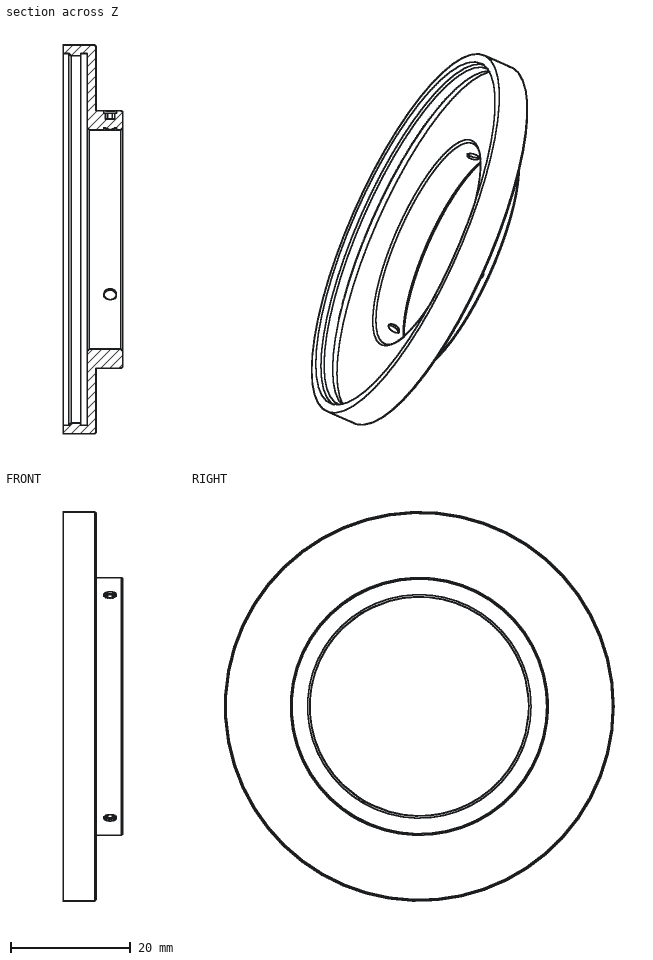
import cadquery as cq

FLANGE_DIAMETER = 65.0
FLANGE_THICKNESS = 5.5
HUB_DIAMETER = 43.0
TOTAL_LENGTH = 10.0
EDGE_CHAMFER = 0.25

THREAD_MAJOR_DIAMETER = 62.1
THREAD_MINOR_DIAMETER = 61.3
LEAD_IN_DEPTH = 1.0
THREAD_END_DEPTH = 3.0
RECESS_DEPTH = 4.0

BORE_DIAMETER = 36.5
BORE_MOUTH_DIAMETER = 37.3

SCREW_DIAMETER = 2.1
SCREW_COUNT = 3
SCREW_X = 7.85
SCREW_HEAD_RECESS = 0.4
SOCKET_ACROSS_CORNERS = 1.5
SOCKET_DEPTH = 1.0
POINT_HEIGHT = 0.4
CUTTER_OVERRUN = 1.3


def disc(diameter, start, end):
    """Solid cylinder on the X axis between two X positions."""
    return cq.Workplane("YZ", origin=(start, 0, 0)).circle(diameter / 2).extrude(end - start)


def taper(start_diameter, end_diameter, start):
    """45 degree cone frustum on the X axis, running towards +X."""
    length = abs(start_diameter - end_diameter) / 2
    profile = [
        (start, 0),
        (start, start_diameter / 2),
        (start + length, end_diameter / 2),
        (start + length, 0),
    ]
    return cq.Workplane("XY").polyline(profile).close().revolve(360, (0, 0, 0), (1, 0, 0))


def ring_body():
    flange = disc(FLANGE_DIAMETER, 0, FLANGE_THICKNESS).faces(">X").chamfer(EDGE_CHAMFER)
    hub = disc(HUB_DIAMETER, FLANGE_THICKNESS, TOTAL_LENGTH).faces(">X").chamfer(EDGE_CHAMFER)
    return flange.union(hub)


def filter_recess():
    lead_in = disc(THREAD_MAJOR_DIAMETER, 0, LEAD_IN_DEPTH)
    lead_in_taper = taper(THREAD_MAJOR_DIAMETER, THREAD_MINOR_DIAMETER, LEAD_IN_DEPTH)
    thread = disc(THREAD_MINOR_DIAMETER, 0, RECESS_DEPTH)
    relief_groove = disc(THREAD_MAJOR_DIAMETER, THREAD_END_DEPTH, RECESS_DEPTH)
    return thread.union(lead_in).union(lead_in_taper).union(relief_groove)


def bore():
    chamfer = (BORE_MOUTH_DIAMETER - BORE_DIAMETER) / 2
    inner_mouth = taper(BORE_MOUTH_DIAMETER, BORE_DIAMETER, RECESS_DEPTH)
    outer_mouth = taper(BORE_DIAMETER, BORE_MOUTH_DIAMETER, TOTAL_LENGTH - chamfer)
    return disc(BORE_DIAMETER, 0, TOTAL_LENGTH).union(inner_mouth).union(outer_mouth)


def screw_cylinder(start, end):
    """Cylinder of the screw diameter on the screw axis between two Y positions."""
    base = cq.Workplane("XZ", origin=(SCREW_X, start, 0))
    return base.circle(SCREW_DIAMETER / 2).extrude(start - end)


def screw_hole():
    """Through-hole cutter pointing along +Y, from the bore to outside the hub."""
    start = BORE_DIAMETER / 2 - CUTTER_OVERRUN
    end = HUB_DIAMETER / 2 + CUTTER_OVERRUN
    return screw_cylinder(start, end)


def set_screw():
    """Set screw along +Y with its hex socket outwards and its point towards the bore."""
    head = HUB_DIAMETER / 2 - SCREW_HEAD_RECESS
    point_tip = BORE_DIAMETER / 2
    point_base = point_tip + POINT_HEIGHT
    point_profile = [
        (0, point_tip),
        (SCREW_DIAMETER / 2, point_base),
        (0, point_base),
    ]
    point = cq.Workplane("XY").polyline(point_profile).close().revolve(360, (0, 0, 0), (0, 1, 0))
    socket = (
        cq.Workplane("XZ", origin=(SCREW_X, head, 0))
        .polygon(6, SOCKET_ACROSS_CORNERS)
        .extrude(SOCKET_DEPTH)
    )
    return screw_cylinder(point_base, head).cut(socket).union(point.translate((SCREW_X, 0, 0)))


result = ring_body().cut(filter_recess()).cut(bore())
for index in range(SCREW_COUNT):
    angle = index * 360 / SCREW_COUNT
    hole = screw_hole().rotate((0, 0, 0), (1, 0, 0), angle)
    screw = set_screw().rotate((0, 0, 0), (1, 0, 0), angle)
    result = result.cut(hole).union(screw)